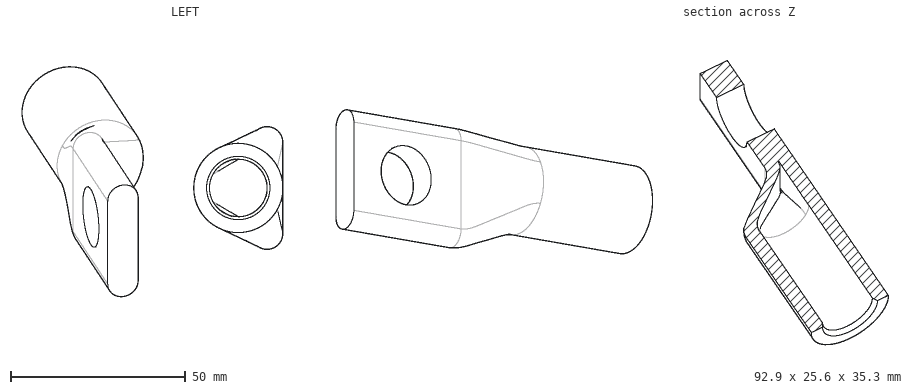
import cadquery as cq
import math

total_length = 92.9
barrel_length = 38.1
palm_length = 37.4
barrel_diameter = 25.6
palm_width = 35.3
palm_thickness = 9.1
bolt_hole_diameter = 17.5
bolt_hole_to_end = 18.3
mouth_chamfer = 0.8
mouth_chamfer_depth = 1.5
slit_thickness = 0.1

crease_angle = math.radians(28.6)
ease_fraction = 0.25
transition_steps = 10

barrel_radius = barrel_diameter / 2
wall = palm_thickness / 2
bore_radius = barrel_radius - wall
palm_start = total_length - palm_length
transition_length = palm_start - barrel_length
palm_center_y = wall - barrel_radius
slit_width = palm_width - palm_thickness


def round_points(radius):
    """Eight (y, z) points of a circle: each crease and the middle of each arc."""
    crease_y = radius * math.cos(crease_angle)
    crease_z = radius * math.sin(crease_angle)
    return [
        (-crease_y, -crease_z), (-radius, 0), (-crease_y, crease_z), (0, radius),
        (crease_y, crease_z), (radius, 0), (crease_y, -crease_z), (0, -radius),
    ]


def flat_points(width, thickness):
    """The matching eight points of a round-ended flat bar centred in the palm."""
    front = palm_center_y - thickness / 2
    back = palm_center_y + thickness / 2
    edge = (width - thickness) / 2
    tip = width / 2
    return [
        (front, -edge), (front, 0), (front, edge), (palm_center_y, tip),
        (back, edge), (back, 0), (back, -edge), (palm_center_y, -tip),
    ]


def eased(t):
    """Blend from 0 to 1 with parabolic ends and a straight middle."""
    if t > 0.5:
        return 1 - eased(1 - t)
    slope = 1 / (1 - ease_fraction)
    if t < ease_fraction:
        return slope * t**2 / (2 * ease_fraction)
    return slope * (t - ease_fraction / 2)


def section(x, points, straight_sides):
    """Closed wire at x: front, tip, back and tip edges through the eight points."""
    p = [cq.Vector(x, y, z) for y, z in points]
    edges = []
    for start in range(0, 8, 2):
        end = (start + 2) % 8
        if straight_sides and start in (0, 4):
            edges.append(cq.Edge.makeLine(p[start], p[end]))
        else:
            edges.append(cq.Edge.makeThreePointArc(p[start], p[start + 1], p[end]))
    return cq.Wire.assembleEdges(edges)


def transition(round_end, flat_end):
    """Smooth loft from the round section to the flat one."""
    wires = []
    for step in range(transition_steps + 1):
        t = step / transition_steps
        blend = eased(t)
        points = [
            (ry + (fy - ry) * blend, rz + (fz - rz) * blend)
            for (ry, rz), (fy, fz) in zip(round_end, flat_end)
        ]
        x = barrel_length + transition_length * t
        wires.append(section(x, points, step == transition_steps))
    return cq.Workplane(cq.Solid.makeLoft(wires))


barrel = cq.Workplane("YZ").circle(barrel_radius).extrude(barrel_length)
neck = transition(round_points(barrel_radius), flat_points(palm_width, palm_thickness))
palm = (
    cq.Workplane("YZ", origin=(palm_start, palm_center_y, 0))
    .slot2D(palm_width, palm_thickness, 90)
    .extrude(palm_length)
)
body = barrel.union(neck).union(palm)

bore = cq.Workplane("YZ").circle(bore_radius).extrude(barrel_length)
mouth = cq.Workplane(
    cq.Solid.makeCone(
        bore_radius + mouth_chamfer, bore_radius, mouth_chamfer_depth,
        pnt=cq.Vector(0, 0, 0), dir=cq.Vector(1, 0, 0),
    )
)
pinch = transition(round_points(bore_radius), flat_points(slit_width, slit_thickness))

bolt_hole = (
    cq.Workplane("XZ", origin=(total_length - bolt_hole_to_end, 0, 0))
    .circle(bolt_hole_diameter / 2)
    .extrude(barrel_diameter, both=True)
)

result = body.cut(bore).cut(mouth).cut(pinch).cut(bolt_hole)